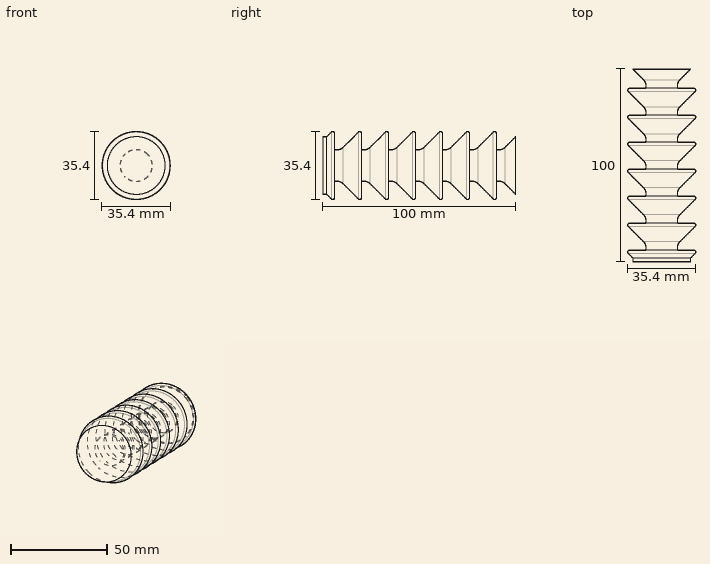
import cadquery as cq
import math

length = 100.0
end_radius = 15.0
end_land = 2.0
rim_radius = 17.7
rim_round = 1.0
root_radius = 8.2
root_round = 4.4
barb_count = 7

pitch = (length - end_land) / barb_count
diagonal = math.sqrt(0.5)

tip_center_radius = rim_radius - rim_round
tip_center = tip_center_radius + rim_round / diagonal - end_radius
tip_start = tip_center - rim_round * diagonal
back_face = tip_center + rim_round

root_center_radius = root_radius + root_round
root_center = root_center_radius - root_round / diagonal - end_radius
cone_start = root_center + root_round * diagonal

root_overrun = root_center + pitch - back_face
groove_edge_radius = root_center_radius - math.sqrt(root_round**2 - root_overrun**2)


def add_barb_tip(profile, origin):
    """Finish a cone with its rounded tip and flat back face."""
    return (
        profile.lineTo(end_radius + tip_start, origin + tip_start)
        .threePointArc(
            (rim_radius, origin + tip_center),
            (tip_center_radius, origin + back_face),
        )
        .lineTo(groove_edge_radius, origin + back_face)
    )


def add_stem(profile, origin):
    """Follow the arc of the stem from a back face up to the next cone."""
    middle = (root_radius, origin + root_center)
    return profile.threePointArc(
        middle, (end_radius + cone_start, origin + cone_start)
    )


profile = cq.Workplane("XY").lineTo(end_radius, 0).lineTo(end_radius, end_land)
for barb in range(barb_count):
    cone_origin = end_land + barb * pitch
    profile = add_barb_tip(profile, cone_origin)
    profile = add_stem(profile, cone_origin + pitch)

profile = profile.lineTo(end_radius, length).lineTo(0, length).close()
result = profile.revolve(360, (0, 0, 0), (0, 1, 0))